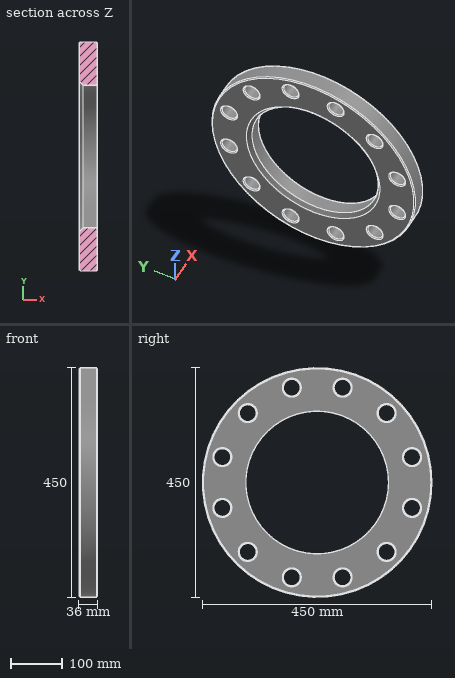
import cadquery as cq

outer_diameter = 450.0
thickness = 36.0
bore_diameter = 279.0
rim_chamfer = 2.2

bore_mouth_diameter = 295.0
bore_chamfer = (bore_mouth_diameter - bore_diameter) / 2

bolt_count = 12
bolt_circle_diameter = 384.8
bolt_hole_diameter = 33.0
bolt_hole_chamfer = 2.2
bolt_pitch_angle = 360.0 / bolt_count


def chamfered_hole(diameter, chamfer):
    """Cutter along +X through the flange, widened by 45 degree chamfers at both faces."""
    radius = diameter / 2
    mouth_radius = radius + chamfer
    return (
        cq.Workplane("XY")
        .moveTo(0, 0)
        .lineTo(0, mouth_radius)
        .lineTo(chamfer, radius)
        .lineTo(thickness - chamfer, radius)
        .lineTo(thickness, mouth_radius)
        .lineTo(thickness, 0)
        .close()
        .revolve(360, (0, 0, 0), (1, 0, 0))
    )


flange = cq.Workplane("YZ").circle(outer_diameter / 2).extrude(thickness)
flange = flange.edges().chamfer(rim_chamfer)

flange = flange.cut(cq.Workplane("YZ").circle(bore_diameter / 2).extrude(thickness))
flange = flange.faces("<X").edges(cq.selectors.RadiusNthSelector(0)).chamfer(bore_chamfer)

bolt_hole = chamfered_hole(bolt_hole_diameter, bolt_hole_chamfer).translate(
    (0, 0, bolt_circle_diameter / 2)
)
for index in range(bolt_count):
    angle = (index + 0.5) * bolt_pitch_angle
    flange = flange.cut(bolt_hole.rotate((0, 0, 0), (1, 0, 0), angle))

result = flange